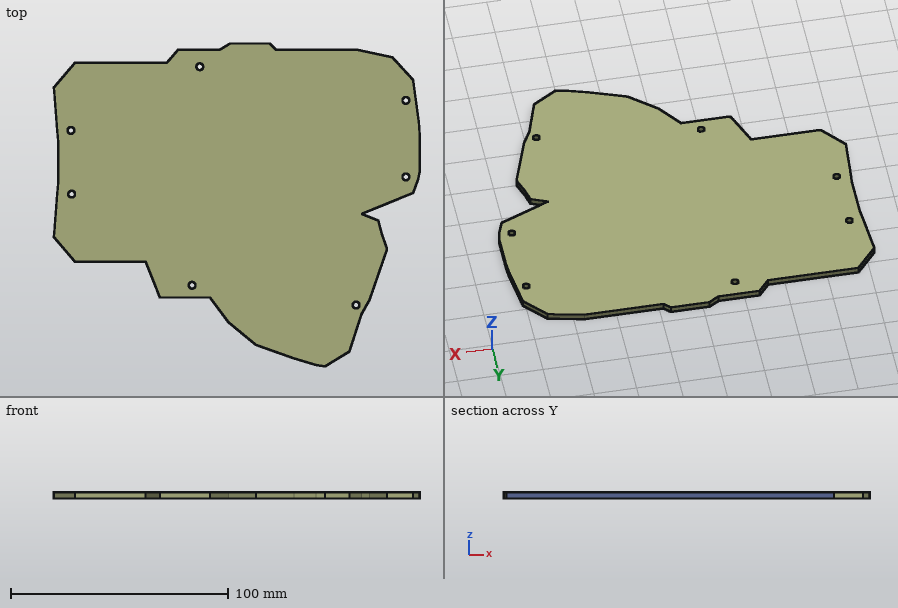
import cadquery as cq

length = 168.5
width = 148.8
thickness = 3.0
hole_diameter = 3.0

lower_left_edge_y = 48.2
foot_edge_y = 31.7
left_top_edge_y = 139.9
main_top_edge_y = 146.0

left_axis_y = (lower_left_edge_y + left_top_edge_y) / 2
left_corner_x = 9.8

left_waist = [(2.0, 9.5), (1.5, 15.0), (0.3, 30.7), (0.0, 34.4)]

top_edge = [
    (left_corner_x, left_top_edge_y),
    (52.1, left_top_edge_y),
    (57.3, main_top_edge_y),
    (76.5, main_top_edge_y),
    (81.3, width),
    (99.5, width),
    (102.3, main_top_edge_y),
    (139.4, main_top_edge_y),
]

right_end = [
    (156.0, 142.5),
    (165.5, 132.0),
    (168.2, 112.1),
    (length, 107.0),
    (length, 89.7),
    (167.9, 86.3),
    (165.5, 79.9),
]
notch_point = (142.0, 70.3)

lobe = [
    (149.5, 67.3),
    (151.0, 61.4),
    (153.5, 54.1),
    (145.5, 30.7),
    (141.8, 24.1),
    (136.2, 6.9),
    (124.9, 0.0),
    (120.7, 0.7),
    (110.5, 3.7),
    (93.0, 10.0),
    (80.4, 20.4),
]

bottom_edge = [
    (72.0, foot_edge_y),
    (48.9, foot_edge_y),
    (42.3, lower_left_edge_y),
    (left_corner_x, lower_left_edge_y),
]

hole_centers = [
    (8.0, 108.7),
    (8.3, 79.4),
    (67.3, 138.0),
    (162.2, 122.5),
    (162.2, 87.3),
    (63.7, 37.5),
    (139.2, 28.3),
]


def left_end():
    """Points of the waisted left end, from bottom to top."""
    lower = [(x, left_axis_y - offset) for x, offset in reversed(left_waist)]
    upper = [(x, left_axis_y + offset) for x, offset in left_waist]
    return lower + upper


outline = top_edge + right_end + [notch_point] + lobe + bottom_edge + left_end()
plate = cq.Workplane("XY").polyline(outline).close().extrude(thickness)
holes = cq.Workplane("XY").pushPoints(hole_centers).circle(hole_diameter / 2).extrude(thickness)

result = plate.cut(holes)